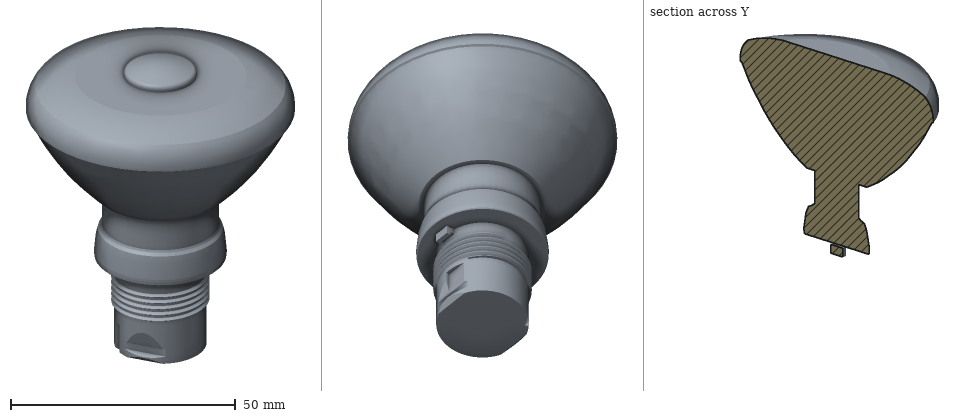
import cadquery as cq
import math

TOTAL_HEIGHT = 70.25

BUTTON_RADIUS = 8.1
BUTTON_DOME_RADIUS = 7.4
BUTTON_SIDE_TOP = 67.8
BUTTON_DOME_BASE = 68.8

HEAD_DIAMETER = 59.9
HEAD_RADIUS = HEAD_DIAMETER / 2
HEAD_TOP = 67.15
HEAD_FLAT_RADIUS = 19.0
CROWN_RADIUS = 27.8
CROWN_BOTTOM = 64.5
CROWN_BULGE = 0.5
RIM_TOP = 59.35
RIM_BOTTOM = 58.85
UNDERSIDE_OUTER_RADIUS = 29.5
UNDERSIDE_TOP = 58.6
UNDERSIDE_INNER_RADIUS = 14.2
HEAD_BOTTOM = 38.0
UNDERSIDE_BULGE = 1.3

NECK_RADIUS = 13.0
NECK_BOTTOM = 30.05
COLLAR_RADIUS = 14.75
COLLAR_SHOULDER_RADIUS = 13.9
COLLAR_SHOULDER = 28.95
COLLAR_LEDGE_RADIUS = 13.3
COLLAR_LEDGE = 29.6
COLLAR_SIDE_TOP = 23.45
COLLAR_SIDE_BOTTOM = 22.8
COLLAR_BOTTOM = 21.9
COLLAR_DRAFT = 0.1
COLLAR_CHAMFER = 0.2

SHAFT_DIAMETER = 20.6
SHAFT_RADIUS = SHAFT_DIAMETER / 2
THREAD_RADIUS = 10.95
THREAD_START = 10.4
THREAD_RISE = 7.65
THREAD_START_ANGLE = 120.0
THREAD_END_ANGLE = 165.0
THREAD_FULL_TURNS = 5
THREAD_BOTTOM = 10.6
THREAD_TOP = 18.4
THREAD_ROOT_WIDTH = 1.2
THREAD_CREST_WIDTH = 0.15
THREAD_EMBED = 0.2

RAMP_TOP = 7.4
RAMP_BOTTOM = 3.8
RAMP_BOTTOM_Y = 9.35
RECESS_Y = 9.05
RECESS_TOP = 3.6
RECESS_BOTTOM = 1.8
LIP_TOP = 1.3
LIP_BOTTOM = 1.1
LIP_CHAMFER_Y = 9.35

NOTCH_MOUTH_ANGLES = (216.5, 229.5)
NOTCH_FLOOR_ANGLES = (224.0, 231.0)
NOTCH_FLOOR_RADIUS = 9.6
NOTCH_HEIGHT = 6.95

POCKET_FLOOR_Y = 9.4
POCKET_WALL_X = 0.7
POCKET_TOP = 9.8

HOOK_WIDTH = 3.65
HOOK_OUTER_Y = 12.35
HOOK_INNER_Y = 11.3
HOOK_ROOT_Y = 10.9
HOOK_TOP = 21.5
HOOK_ARM_BOTTOM = 20.4
HOOK_BOTTOM = 19.25

OVERLAP = 0.7


def bulged_midpoint(start, end, bulge):
    """Point beside the middle of a chord, offset to its right by the bulge."""
    dr = end[0] - start[0]
    dz = end[1] - start[1]
    chord = math.hypot(dr, dz)
    return (
        (start[0] + end[0]) / 2 + bulge * dz / chord,
        (start[1] + end[1]) / 2 - bulge * dr / chord,
    )


def polar(radius, angle):
    """XY point at a radius and an angle in degrees from +X."""
    return (
        radius * math.cos(math.radians(angle)),
        radius * math.sin(math.radians(angle)),
    )


def turned_body():
    """Button, head, neck, collar and plain shaft as one half profile (R, Z) turned about Z."""
    underside_inner = (UNDERSIDE_INNER_RADIUS, HEAD_BOTTOM)
    underside_outer = (UNDERSIDE_OUTER_RADIUS, UNDERSIDE_TOP)
    underside_middle = bulged_midpoint(underside_inner, underside_outer, UNDERSIDE_BULGE)
    crown_outer = (CROWN_RADIUS, CROWN_BOTTOM)
    crown_inner = (HEAD_FLAT_RADIUS, HEAD_TOP)
    crown_middle = bulged_midpoint(crown_outer, crown_inner, CROWN_BULGE)
    collar_foot_radius = COLLAR_RADIUS - COLLAR_DRAFT
    profile = (
        cq.Workplane("XZ")
        .lineTo(SHAFT_RADIUS, 0)
        .lineTo(SHAFT_RADIUS, COLLAR_BOTTOM)
        .lineTo(collar_foot_radius - COLLAR_CHAMFER, COLLAR_BOTTOM)
        .lineTo(collar_foot_radius, COLLAR_BOTTOM + COLLAR_CHAMFER)
        .lineTo(COLLAR_RADIUS, COLLAR_SIDE_BOTTOM)
        .lineTo(COLLAR_RADIUS, COLLAR_SIDE_TOP)
        .tangentArcPoint((COLLAR_SHOULDER_RADIUS, COLLAR_SHOULDER), relative=False)
        .lineTo(COLLAR_LEDGE_RADIUS, COLLAR_LEDGE)
        .lineTo(NECK_RADIUS, NECK_BOTTOM)
        .lineTo(NECK_RADIUS, HEAD_BOTTOM)
        .lineTo(*underside_inner)
        .threePointArc(underside_middle, underside_outer)
        .lineTo(HEAD_RADIUS, RIM_BOTTOM)
        .lineTo(HEAD_RADIUS, RIM_TOP)
        .tangentArcPoint(crown_outer, relative=False)
        .threePointArc(crown_middle, crown_inner)
        .lineTo(BUTTON_RADIUS, HEAD_TOP)
        .lineTo(BUTTON_RADIUS, BUTTON_SIDE_TOP)
        .tangentArcPoint((BUTTON_DOME_RADIUS, BUTTON_DOME_BASE), relative=False)
    )
    dome_height = TOTAL_HEIGHT - BUTTON_DOME_BASE
    sphere_radius = (BUTTON_DOME_RADIUS**2 + dome_height**2) / (2 * dome_height)
    profile = profile.radiusArc((0, TOTAL_HEIGHT), -sphere_radius)
    return profile.close().revolve(360, (0, 0, 0), (0, 1, 0))


def thread():
    """Right-handed ridge wound around the shaft, trimmed flat at both ends."""
    turns = THREAD_FULL_TURNS + (THREAD_END_ANGLE - THREAD_START_ANGLE) / 360
    half_root = THREAD_ROOT_WIDTH / 2
    half_crest = THREAD_CREST_WIDTH / 2
    root_radius = SHAFT_RADIUS - THREAD_EMBED
    helix = cq.Wire.makeHelix(THREAD_RISE / turns, THREAD_RISE, root_radius)
    ridge = (
        cq.Workplane("XZ")
        .moveTo(root_radius, -half_root)
        .lineTo(THREAD_RADIUS, -half_crest)
        .lineTo(THREAD_RADIUS, half_crest)
        .lineTo(root_radius, half_root)
        .close()
        .sweep(cq.Workplane(helix), isFrenet=True)
    )
    ridge = ridge.rotate((0, 0, 0), (0, 0, 1), THREAD_START_ANGLE).translate((0, 0, THREAD_START))
    trim = (
        cq.Workplane("XY", origin=(0, 0, THREAD_BOTTOM))
        .circle(THREAD_RADIUS + OVERLAP)
        .extrude(THREAD_TOP - THREAD_BOTTOM)
    )
    return ridge.intersect(trim)


def snap_recess():
    """Ramp, recess and lip chamfer cut straight along X through the +Y side, as a (Y, Z) outline."""
    outside = SHAFT_RADIUS + OVERLAP
    recess = cq.Workplane("YZ").polyline([
        (SHAFT_RADIUS, RAMP_TOP),
        (RAMP_BOTTOM_Y, RAMP_BOTTOM),
        (RECESS_Y, RECESS_TOP),
        (RECESS_Y, RECESS_BOTTOM),
        (SHAFT_RADIUS, LIP_TOP),
        (outside, LIP_TOP),
        (outside, RAMP_TOP),
    ]).close().extrude(SHAFT_RADIUS, both=True)
    lip_chamfer = cq.Workplane("YZ").polyline([
        (SHAFT_RADIUS, LIP_BOTTOM),
        (LIP_CHAMFER_Y, 0),
        (SHAFT_RADIUS, 0),
    ]).close().extrude(SHAFT_RADIUS, both=True)
    return recess.union(lip_chamfer)


def foot_notch():
    """Flat-floored notch, open at the bottom and at the shaft surface."""
    mouth_start, mouth_end = [polar(SHAFT_RADIUS, angle) for angle in NOTCH_MOUTH_ANGLES]
    floor_start, floor_end = [polar(NOTCH_FLOOR_RADIUS, angle) for angle in NOTCH_FLOOR_ANGLES]
    outside = polar(SHAFT_RADIUS + OVERLAP, sum(NOTCH_MOUTH_ANGLES) / 2)
    return (
        cq.Workplane("XY")
        .polyline([mouth_start, floor_start, floor_end, mouth_end, outside])
        .close()
        .extrude(NOTCH_HEIGHT)
    )


def side_pocket():
    """Flat-floored pocket that meets the ramp below it."""
    return cq.Workplane("XY").box(
        SHAFT_RADIUS + POCKET_WALL_X,
        SHAFT_RADIUS + OVERLAP - POCKET_FLOOR_Y,
        POCKET_TOP - RAMP_BOTTOM,
        centered=False,
    ).translate((-SHAFT_RADIUS, POCKET_FLOOR_Y, RAMP_BOTTOM))


def locating_hook():
    """Downward hook that joins the shaft and the collar, as a (Y, Z) outline."""
    inside = SHAFT_RADIUS - OVERLAP
    return cq.Workplane("YZ").polyline([
        (inside, COLLAR_BOTTOM),
        (HOOK_ROOT_Y, COLLAR_BOTTOM),
        (HOOK_ROOT_Y, HOOK_TOP),
        (HOOK_OUTER_Y, HOOK_TOP),
        (HOOK_OUTER_Y, HOOK_BOTTOM),
        (HOOK_INNER_Y, HOOK_BOTTOM),
        (HOOK_INNER_Y, HOOK_ARM_BOTTOM),
        (inside, HOOK_ARM_BOTTOM),
    ]).close().extrude(HOOK_WIDTH / 2, both=True)


result = turned_body()
for side_angle in (0, 180):
    result = result.cut(snap_recess().rotate((0, 0, 0), (0, 0, 1), side_angle))
result = result.cut(foot_notch())
result = result.cut(side_pocket())
result = result.union(locating_hook())
result = result.union(thread())